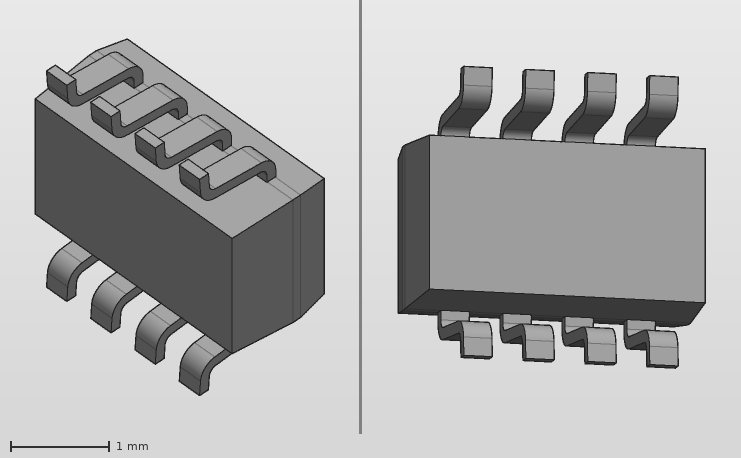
import cadquery as cq
import math

BODY_LENGTH = 3.0
SPAN = 3.0

BODY_HEIGHT = 1.7
BODY_DEPTH = 1.3
BAND_BACK = 0.385
BAND_DEPTH = 0.108
BAND_FRONT = BAND_BACK + BAND_DEPTH
FACE_INSET = 0.05

LEADS_PER_SIDE = 4
LEAD_PITCH = 0.65
LEAD_WIDTH = 0.3
LEAD_THICKNESS = 0.125
LEAD_BACK = BAND_BACK + (BAND_DEPTH - LEAD_THICKNESS) / 2
LEAD_EMBED = 0.15
STUB_LENGTH = 0.1
INNER_RADIUS = 0.095
OUTER_RADIUS = INNER_RADIUS + LEAD_THICKNESS
ARM_LENGTH = 0.648
ARM_TILT = math.radians(5)
FOOT_TILT = math.radians(4)


def tapered_half(start_depth, end_depth):
    """Body half shrinking evenly on all sides from the band to a flat face."""
    travel = end_depth - start_depth
    taper = math.degrees(math.atan(FACE_INSET / abs(travel)))
    return (
        cq.Workplane("XZ", origin=(0, -start_depth, 0))
        .rect(BODY_LENGTH, BODY_HEIGHT)
        .extrude(travel, taper=taper)
    )


def make_body():
    band = (
        cq.Workplane("XZ", origin=(0, -BAND_BACK, 0))
        .rect(BODY_LENGTH, BODY_HEIGHT)
        .extrude(BAND_DEPTH)
    )
    back_half = tapered_half(BAND_BACK, 0)
    front_half = tapered_half(BAND_FRONT, BODY_DEPTH)
    return band.union(back_half).union(front_half)


def around(center, radius, angle):
    """Point (Y, Z) on a circle; the angle is measured from -Y toward +Z."""
    return (center[0] - radius * math.cos(angle), center[1] + radius * math.sin(angle))


def make_lead():
    """Upper lead centred on X = 0: stub, bend, arm, opposite bend and foot."""
    shoulder_start = math.pi
    shoulder_end = math.pi / 2 + ARM_TILT
    shoulder_mid = (shoulder_start + shoulder_end) / 2
    ankle_start = ARM_TILT - math.pi / 2
    ankle_end = -FOOT_TILT
    ankle_mid = (ankle_start + ankle_end) / 2

    stub_top = BODY_HEIGHT / 2 + STUB_LENGTH
    shoulder = (-LEAD_BACK - OUTER_RADIUS, stub_top)
    arm_start = around(shoulder, INNER_RADIUS + OUTER_RADIUS, shoulder_end)
    ankle = around(arm_start, ARM_LENGTH, ARM_TILT)

    root = BODY_HEIGHT / 2 - LEAD_EMBED
    tip = SPAN / 2
    foot_lean = (tip - ankle[1]) * math.tan(FOOT_TILT)

    def tip_point(radius):
        return (ankle[0] - radius / math.cos(FOOT_TILT) - foot_lean, tip)

    return (
        cq.Workplane("YZ", origin=(-LEAD_WIDTH / 2, 0, 0))
        .moveTo(-LEAD_BACK, root)
        .lineTo(*around(shoulder, OUTER_RADIUS, shoulder_start))
        .threePointArc(
            around(shoulder, OUTER_RADIUS, shoulder_mid),
            around(shoulder, OUTER_RADIUS, shoulder_end),
        )
        .lineTo(*around(ankle, INNER_RADIUS, ankle_start))
        .threePointArc(
            around(ankle, INNER_RADIUS, ankle_mid),
            around(ankle, INNER_RADIUS, ankle_end),
        )
        .lineTo(*tip_point(INNER_RADIUS))
        .lineTo(*tip_point(OUTER_RADIUS))
        .lineTo(*around(ankle, OUTER_RADIUS, ankle_end))
        .threePointArc(
            around(ankle, OUTER_RADIUS, ankle_mid),
            around(ankle, OUTER_RADIUS, ankle_start),
        )
        .lineTo(*around(shoulder, INNER_RADIUS, shoulder_end))
        .threePointArc(
            around(shoulder, INNER_RADIUS, shoulder_mid),
            around(shoulder, INNER_RADIUS, shoulder_start),
        )
        .lineTo(-LEAD_BACK - LEAD_THICKNESS, root)
        .close()
        .extrude(LEAD_WIDTH)
    )


result = make_body()
upper_lead = make_lead()
lower_lead = upper_lead.mirror("XY")
for index in range(LEADS_PER_SIDE):
    x = (index - (LEADS_PER_SIDE - 1) / 2) * LEAD_PITCH
    result = result.union(upper_lead.translate((x, 0, 0)))
    result = result.union(lower_lead.translate((x, 0, 0)))